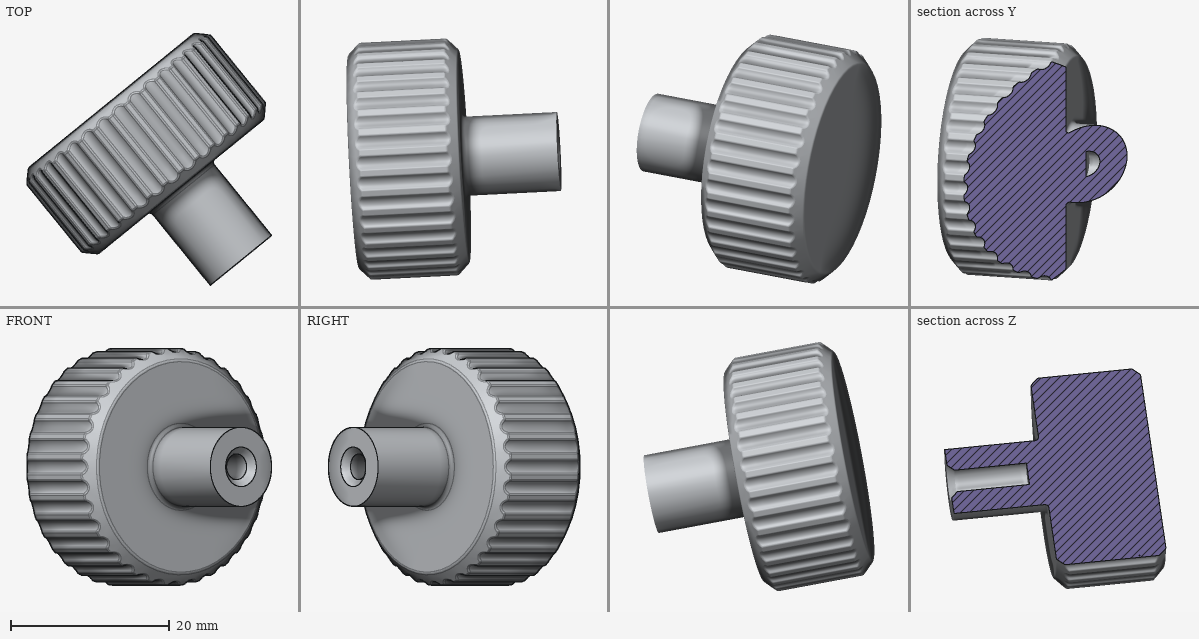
import cadquery as cq
import math

head_diameter = 30.0
head_thickness = 14.0
head_chamfer = 1.5
face_edge_radius = 0.5
shank_diameter = 10.0
shank_length = 12.0
shank_root_radius = 0.5

bore_diameter = 3.242
bore_depth = 10.0
countersink_diameter = 5.0

flute_count = 36
flute_radius = 1.0
flute_depth = 0.5
crest_radius = 0.3
flute_end_radius = 0.3

axis_angle = 39.1

head_radius = head_diameter / 2
flute_pitch_angle = 2 * math.pi / flute_count
flute_center_distance = head_radius - flute_depth + flute_radius


def polar(radius, angle):
    return (radius * math.cos(angle), radius * math.sin(angle))


def toward(start, end, distance):
    """Point at the given distance from start on the way to end."""
    ratio = distance / math.dist(start, end)
    return (start[0] + (end[0] - start[0]) * ratio, start[1] + (end[1] - start[1]) * ratio)


def fluted_outline():
    """Circle with scalloped flutes whose crests blend into the circle by small arcs."""
    blend_distance = head_radius - crest_radius
    center_gap = flute_radius + crest_radius
    cosine = (blend_distance**2 + flute_center_distance**2 - center_gap**2) / (
        2 * blend_distance * flute_center_distance
    )
    blend_angle = math.acos(cosine)

    def blend_points(flute_angle, side):
        """Start, middle and end of one blend arc, from the head circle to the flute."""
        angle = flute_angle + side * blend_angle
        flute_center = polar(flute_center_distance, flute_angle)
        blend_center = polar(blend_distance, angle)
        on_head = polar(head_radius, angle)
        on_flute = toward(blend_center, flute_center, crest_radius)
        chord_middle = ((on_head[0] + on_flute[0]) / 2, (on_head[1] + on_flute[1]) / 2)
        return on_head, toward(blend_center, chord_middle, crest_radius), on_flute

    outline = cq.Workplane("XY").moveTo(*blend_points(0, -1)[0])
    for index in range(flute_count):
        flute_angle = index * flute_pitch_angle
        _, entry_middle, entry_end = blend_points(flute_angle, -1)
        exit_start, exit_middle, exit_end = blend_points(flute_angle, 1)
        next_angle = flute_angle + flute_pitch_angle
        outline = (
            outline.threePointArc(entry_middle, entry_end)
            .threePointArc(polar(head_radius - flute_depth, flute_angle), exit_end)
            .threePointArc(exit_middle, exit_start)
            .threePointArc(
                polar(head_radius, (flute_angle + next_angle) / 2),
                blend_points(next_angle, -1)[0],
            )
        )
    return outline.close()


def rim_edges(head, chamfer_edge_z):
    """Scalloped edges where the flutes and crests run out on one chamfer cone."""
    reach = flute_depth + flute_end_radius
    box = cq.selectors.BoxSelector(
        (-head_diameter, -head_diameter, chamfer_edge_z - reach),
        (head_diameter, head_diameter, chamfer_edge_z + reach),
    )
    return head.edges(box)


def make_head():
    """Fluted disc below Z = 0 with chamfered and rounded rims."""
    envelope_radius = head_radius + flute_depth
    envelope_chamfer = head_chamfer + flute_depth
    face_radius = envelope_radius - envelope_chamfer
    envelope = (
        cq.Workplane("XZ")
        .lineTo(face_radius, 0)
        .lineTo(envelope_radius, -envelope_chamfer)
        .lineTo(envelope_radius, -head_thickness + envelope_chamfer)
        .lineTo(face_radius, -head_thickness)
        .lineTo(0, -head_thickness)
        .close()
        .revolve(360, (0, 0, 0), (0, 1, 0))
    )
    fluted_disc = fluted_outline().extrude(-head_thickness)
    head = fluted_disc.intersect(envelope, clean=False)
    head = head.faces("<Z or >Z").edges().fillet(face_edge_radius)
    for chamfer_edge_z in (-head_chamfer, head_chamfer - head_thickness):
        head = rim_edges(head, chamfer_edge_z).fillet(flute_end_radius)
    return head


def make_shank():
    """Hollow shank above Z = 0, flared at its root and countersunk at its free end."""
    shank_radius = shank_diameter / 2
    bore_radius = bore_diameter / 2
    countersink_radius = countersink_diameter / 2
    countersink_depth = countersink_radius - bore_radius
    flare_radius = shank_radius + shank_root_radius
    flare_inset = shank_root_radius * (1 - math.sqrt(0.5))
    return (
        cq.Workplane("XZ")
        .lineTo(flare_radius, 0)
        .threePointArc(
            (shank_radius + flare_inset, flare_inset),
            (shank_radius, shank_root_radius),
        )
        .lineTo(shank_radius, shank_length)
        .lineTo(countersink_radius, shank_length)
        .lineTo(bore_radius, shank_length - countersink_depth)
        .lineTo(bore_radius, shank_length - bore_depth)
        .lineTo(0, shank_length - bore_depth)
        .close()
        .revolve(360, (0, 0, 0), (0, 1, 0))
    )


knob = make_head().union(make_shank(), clean=False)
result = knob.rotate((0, 0, 0), (1, 0, 0), 90).rotate((0, 0, 0), (0, 0, 1), axis_angle)